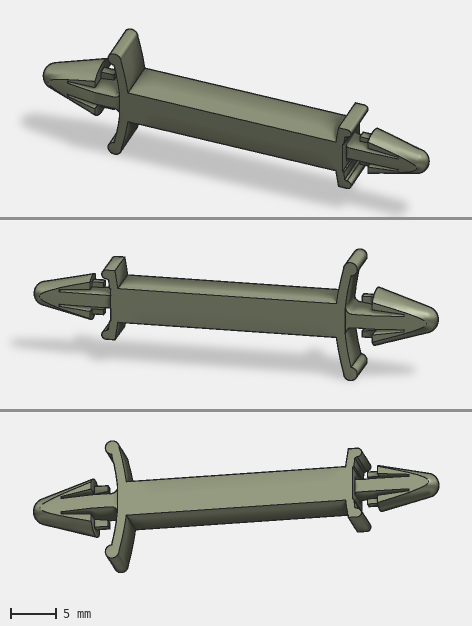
import cadquery as cq
import math

LENGTH = 45.6
WIDTH = 5.0
BODY_HALF_HEIGHT = 1.95

LARGE_SEAT_X = 9.95
WING_HALF_SPAN = 6.85
BEAD_RADIUS = 0.78
BEAD_X = 9.35
BEAD_Z = WING_HALF_SPAN - BEAD_RADIUS
WING_ROOT_X = 10.95
LARGE_SEAT_HALF_HEIGHT = 1.5
WING_INNER_MIDDLE = (9.65, 3.45)
WING_INNER_END = (9.25, 5.4)
WING_OUTER_MIDDLE = (10.6, 4.1)

SMALL_SEAT_X = 36.45
SMALL_WING_ROOT_X = 35.6
SMALL_WING_TOP_X = 35.95
SMALL_WING_HALF_SPAN = 4.0
HOOK_RADIUS = 0.5
HOOK_X = 36.95
SMALL_SEAT_HALF_HEIGHT = 1.82
SMALL_WING_INNER_BOTTOM_X = 36.55
SMALL_WING_INNER_TOP = (36.65, 2.85)
HOOK_Z = SMALL_WING_HALF_SPAN - HOOK_RADIUS

TAB_WIDTH = 0.95
OVERLAP = 0.45


def extrude_across(profile, width):
    """Extrude an XZ profile symmetrically about Y = 0."""
    return profile.extrude(width).translate((0, width / 2, 0))


def both_sides(upper):
    """Join an upper feature with its mirror image below Z = 0."""
    return upper.union(upper.mirror("XY"))


def large_wing():
    """Curved upper wing, thinning towards its round bead."""
    blade = (
        cq.Workplane("XZ")
        .moveTo(LARGE_SEAT_X, 0)
        .lineTo(LARGE_SEAT_X, LARGE_SEAT_HALF_HEIGHT)
        .threePointArc(WING_INNER_MIDDLE, WING_INNER_END)
        .lineTo(BEAD_X, BEAD_Z)
        .lineTo(BEAD_X + BEAD_RADIUS, BEAD_Z)
        .threePointArc(WING_OUTER_MIDDLE, (WING_ROOT_X, BODY_HALF_HEIGHT))
        .lineTo(WING_ROOT_X, 0)
        .close()
    )
    bead = cq.Workplane("XZ").center(BEAD_X, BEAD_Z).circle(BEAD_RADIUS)
    return extrude_across(blade, WIDTH).union(extrude_across(bead, WIDTH))


def small_wing():
    """Flat-topped upper wing with a rounded hook facing the small barb."""
    wing = (
        cq.Workplane("XZ")
        .moveTo(SMALL_WING_ROOT_X, 0)
        .lineTo(SMALL_WING_ROOT_X, BODY_HALF_HEIGHT)
        .lineTo(SMALL_WING_TOP_X, SMALL_WING_HALF_SPAN)
        .lineTo(HOOK_X, SMALL_WING_HALF_SPAN)
        .threePointArc((HOOK_X + HOOK_RADIUS, HOOK_Z), (HOOK_X, HOOK_Z - HOOK_RADIUS))
        .lineTo(*SMALL_WING_INNER_TOP)
        .lineTo(SMALL_WING_INNER_BOTTOM_X, BODY_HALF_HEIGHT)
        .lineTo(SMALL_SEAT_X, SMALL_SEAT_HALF_HEIGHT)
        .lineTo(SMALL_SEAT_X, 0)
        .close()
    )
    return extrude_across(wing, WIDTH)


def barb(nose_length, nose_radius, cone_end, cone_radius, flat_half_width, stem_half_height,
         slot_start, slot_start_z, slot_end_z, tab_end, tab_bottom, tab_top, seat, root_radius):
    """Split barb with its tip at the origin, pointing along -X; lengths are measured from the tip."""
    cap_radius = (nose_radius**2 + nose_length**2) / (2 * nose_length)
    bulge_x = nose_length / 2
    bulge_radius = math.sqrt(bulge_x * (2 * cap_radius - bulge_x))
    head = (
        cq.Workplane("XY")
        .moveTo(0, 0)
        .threePointArc((bulge_x, bulge_radius), (nose_length, nose_radius))
        .lineTo(cone_end, cone_radius)
        .lineTo(cone_end, 0)
        .close()
        .revolve(360, (0, 0, 0), (1, 0, 0))
    )

    side_trim = (
        cq.Workplane("XY")
        .moveTo(0, -nose_radius)
        .lineTo(nose_length, -nose_radius)
        .lineTo(cone_end, -flat_half_width)
        .lineTo(cone_end, flat_half_width)
        .lineTo(nose_length, nose_radius)
        .lineTo(0, nose_radius)
        .close()
        .extrude(cone_radius, both=True)
    )
    head = head.intersect(side_trim)

    slot = (
        cq.Workplane("XZ")
        .moveTo(slot_start, stem_half_height)
        .lineTo(slot_start, slot_start_z)
        .lineTo(cone_end, slot_end_z)
        .lineTo(cone_end, stem_half_height)
        .close()
    )
    head = head.cut(both_sides(extrude_across(slot, WIDTH)))

    stem = (
        cq.Workplane("XZ")
        .moveTo(cone_end, 0)
        .lineTo(cone_end, stem_half_height)
        .lineTo(seat - root_radius, stem_half_height)
        .radiusArc((seat, stem_half_height + root_radius), -root_radius)
        .lineTo(seat + OVERLAP, stem_half_height + root_radius)
        .lineTo(seat + OVERLAP, 0)
        .close()
    )
    tab = (
        cq.Workplane("XZ")
        .moveTo(cone_end - OVERLAP, tab_top)
        .lineTo(tab_end, tab_top)
        .lineTo(tab_end, tab_bottom)
        .lineTo(cone_end, slot_end_z)
        .lineTo(cone_end - OVERLAP, slot_end_z)
        .close()
    )
    stem = both_sides(extrude_across(stem, 2 * flat_half_width))
    tabs = both_sides(extrude_across(tab, TAB_WIDTH))
    return head.union(stem).union(tabs)


body_length = SMALL_SEAT_X - LARGE_SEAT_X
body = cq.Workplane("XY").box(body_length, WIDTH, 2 * BODY_HALF_HEIGHT)
body = body.translate((LARGE_SEAT_X + body_length / 2, 0, 0))

large_barb = barb(
    nose_length=1.0,
    nose_radius=1.4,
    cone_end=6.95,
    cone_radius=3.25,
    flat_half_width=2.3,
    stem_half_height=0.78,
    slot_start=3.45,
    slot_start_z=1.0,
    slot_end_z=1.45,
    tab_end=8.5,
    tab_bottom=1.7,
    tab_top=2.35,
    seat=LARGE_SEAT_X,
    root_radius=0.78,
)

small_barb = barb(
    nose_length=0.85,
    nose_radius=1.28,
    cone_end=6.6,
    cone_radius=2.55,
    flat_half_width=1.4,
    stem_half_height=0.75,
    slot_start=3.1,
    slot_start_z=0.95,
    slot_end_z=1.28,
    tab_end=7.95,
    tab_bottom=1.28,
    tab_top=1.85,
    seat=LENGTH - SMALL_SEAT_X,
    root_radius=0.3,
)
small_barb = small_barb.rotate((0, 0, 0), (0, 0, 1), 180).translate((LENGTH, 0, 0))

result = (
    body
    .union(both_sides(large_wing()))
    .union(both_sides(small_wing()))
    .union(large_barb)
    .union(small_barb)
)